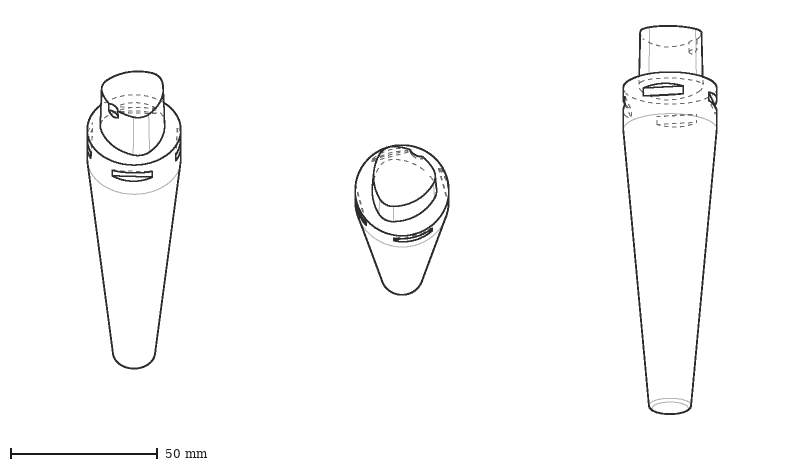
import cadquery as cq
import math

total_height = 135
flange_diameter = 32.0
flange_radius = flange_diameter / 2
flange_height = 15.0
shank_height = 19.0
flange_top = total_height - shank_height
flange_bottom = flange_top - flange_height

tip_radius = 7.2
tip_fillet = 1.1

shank_width = 22.0
shank_half_width = shank_width / 2
half_sector = 30
lobe_center_offset = 6.1
shank_slope = 1 / 40
lobe_radius = shank_half_width - lobe_center_offset * math.cos(math.radians(half_sector))
flank_radius = shank_width - lobe_radius
lobe_angles = (90, 210, 330)

slot_count = 4
slot_drop = 6.2
slot_floor_height = 2.8
slot_mouth_height = 4.3
slot_floor_distance = 14.5

notch_radius = 3.8
notch_inner_y = -8.8
notch_depth = 4.5
notch_bevel = 1.1

clearance = 1.4


def point_from(center, radius, angle):
    """Point at a distance and an angle in degrees from a center."""
    return (
        center[0] + radius * math.cos(math.radians(angle)),
        center[1] + radius * math.sin(math.radians(angle)),
    )


def make_body():
    """Straight flange above a long cone with a rounded tip."""
    cone = (
        cq.Workplane("XY")
        .circle(tip_radius)
        .workplane(offset=flange_bottom)
        .circle(flange_radius)
        .loft(ruled=True)
        .faces("<Z")
        .edges()
        .fillet(tip_fillet)
    )
    flange = cq.Workplane("XY").workplane(offset=flange_bottom).circle(flange_radius).extrude(flange_height)
    return cone.union(flange)


def make_shank():
    """Constant-width trilobe; each large arc is centered on the opposite lobe's center."""
    first_center = point_from((0, 0), lobe_center_offset, lobe_angles[0])
    profile = cq.Workplane("XY", origin=(0, 0, flange_top))
    profile = profile.moveTo(*point_from(first_center, lobe_radius, lobe_angles[0] - half_sector))
    for angle in lobe_angles:
        center = point_from((0, 0), lobe_center_offset, angle)
        opposite_center = point_from((0, 0), lobe_center_offset, angle - 4 * half_sector)
        profile = profile.threePointArc(
            point_from(center, lobe_radius, angle),
            point_from(center, lobe_radius, angle + half_sector),
        )
        profile = profile.threePointArc(
            point_from(opposite_center, flank_radius, angle + 2 * half_sector),
            point_from(opposite_center, flank_radius, angle + 3 * half_sector),
        )
    return profile.close().extrude(shank_height, taper=math.degrees(math.atan(shank_slope)))


def make_slot_cutter(angle):
    """Flat-floored slot with flared sides, facing the given direction."""
    flare = (slot_mouth_height - slot_floor_height) / 2 / (flange_radius - slot_floor_distance)
    outer_distance = flange_radius + clearance
    floor_half = slot_floor_height / 2
    outer_half = floor_half + flare * (outer_distance - slot_floor_distance)
    return (
        cq.Workplane("XZ", origin=(0, 0, flange_top - slot_drop))
        .polyline([
            (slot_floor_distance, -floor_half),
            (outer_distance, -outer_half),
            (outer_distance, outer_half),
            (slot_floor_distance, floor_half),
        ])
        .close()
        .extrude(flange_radius, both=True)
        .rotate((0, 0, 0), (0, 0, 1), angle)
    )


def make_notch_cutter():
    """Upright cylinder with a beveled lower end that bites into the shank."""
    return (
        cq.Workplane("XY", origin=(0, notch_inner_y - notch_radius, total_height - notch_depth))
        .circle(notch_radius)
        .extrude(notch_depth + clearance)
        .faces("<Z")
        .edges()
        .chamfer(notch_bevel)
    )


result = make_body().union(make_shank()).cut(make_notch_cutter())
for slot_index in range(slot_count):
    result = result.cut(make_slot_cutter((slot_index + 0.5) * 360 / slot_count))